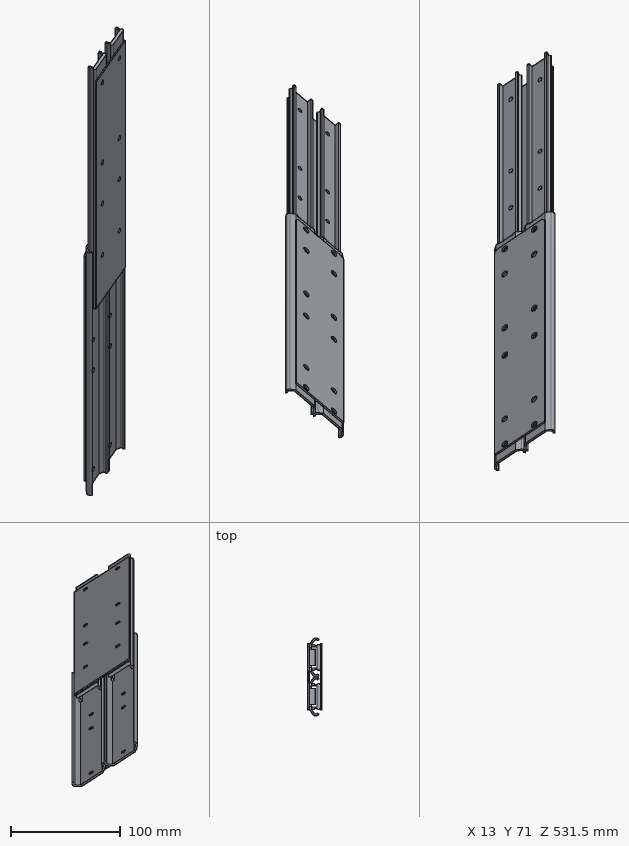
import cadquery as cq
import math


total_length = 531.5
total_depth = 13.0
total_width = 71.0
outer_length = 305.0
inner_length = 301.5
back_plate_thickness = 1.5
front_plate_thickness = 1.35
plate_width = 60.5
plate_length = 285.0
front_plate_margin = 14.0
slide_width = total_width / 2
slide_centers = (-slide_width / 2, slide_width / 2)

web_flat_width = 24.0
curl_radius = 3.45
sheet_thickness = 1.85
curl_reach = 2.9
curl_center_x = 7.5
curl_center_y = slide_width / 2 - curl_radius
notch_depth = 1.0
notch_width = 18.0
notch_slope = 1.5
stop_tab_end_x = 7.0
stop_tab_thickness = 1.5

inner_front_x = 3.5
inner_back_x = total_depth - front_plate_thickness
inner_width = 24.0
inner_web = 3.0
inner_flange = 2.4
groove_width = 3.5
groove_depth = 1.0
groove_center_x = curl_center_x
inner_bottom = total_length - inner_length
inner_corner_radius = 1.5

back_plate_bottom = 10.5
front_plate_bottom = total_length - front_plate_margin - plate_length
plate_chamfer = 2.5

access_hole_diameter = 6.65
screw_hole_diameter = 4.5
end_hole_margin = 16.0
blind_hole_margin = 51.0
middle_hole_heights = (140.5, 178.5)
top_hole_height = outer_length - end_hole_margin
outer_hole_heights = (end_hole_margin, *middle_hole_heights, top_hole_height)
access_hole_heights = (*outer_hole_heights, blind_hole_margin, outer_length - blind_hole_margin)
inner_hole_heights = (top_hole_height, 354.0, 405.5, 506.0)


def holes_along_x(diameter, y_positions, heights):
    """Round cutters that run along X through the full depth."""
    points = [(y, z) for y in y_positions for z in heights]
    return cq.Workplane("YZ").pushPoints(points).circle(diameter / 2).extrude(total_depth)


def tangent_angle(web_x, radius):
    """Direction, from the -X axis toward the lip, of the point where the sloped side meets the curl."""
    rise = curl_center_x - web_x
    run = curl_center_y - web_flat_width / 2
    return math.acos(radius / math.hypot(rise, run)) - math.atan2(run, rise)


def curl_point(radius, angle, side):
    """Point on a curl, with the angle counted from the web side round to the lip."""
    x = curl_center_x - radius * math.cos(angle)
    y = curl_center_y + radius * math.sin(angle)
    return (x, side * y)


def make_outer_rail(center_y):
    web_x = back_plate_thickness
    web_inside_x = web_x + sheet_thickness
    half_flat = web_flat_width / 2
    outer = curl_radius
    inner = curl_radius - sheet_thickness
    lip = math.pi / 2 + math.asin(curl_reach / curl_radius)
    outer_start = tangent_angle(web_x, outer)
    inner_start = tangent_angle(web_inside_x, inner)
    widest = math.pi / 2
    rail = (
        cq.Workplane("XY")
        .moveTo(web_x, -half_flat)
        .lineTo(web_x, half_flat)
        .lineTo(*curl_point(outer, outer_start, 1))
        .threePointArc(curl_point(outer, widest, 1), curl_point(outer, lip, 1))
        .lineTo(*curl_point(inner, lip, 1))
        .threePointArc(curl_point(inner, widest, 1), curl_point(inner, inner_start, 1))
        .lineTo(web_inside_x, half_flat)
        .lineTo(web_inside_x, -half_flat)
        .lineTo(*curl_point(inner, inner_start, -1))
        .threePointArc(curl_point(inner, widest, -1), curl_point(inner, lip, -1))
        .lineTo(*curl_point(outer, lip, -1))
        .threePointArc(curl_point(outer, widest, -1), curl_point(outer, outer_start, -1))
        .close()
        .extrude(outer_length)
    )
    half_top = notch_width / 2
    half_floor = half_top - notch_slope
    notch_floor = outer_length - notch_depth
    notch = (
        cq.Workplane("YZ")
        .polyline([
            (-half_top, outer_length),
            (-half_floor, notch_floor),
            (half_floor, notch_floor),
            (half_top, outer_length),
        ])
        .close()
        .extrude(web_inside_x)
    )
    stop_tab = (
        cq.Workplane("XY", origin=(0, 0, notch_floor - stop_tab_thickness))
        .box(stop_tab_end_x - web_x, 2 * half_floor, stop_tab_thickness, centered=(False, True, False))
        .translate((web_x, 0, 0))
    )
    rail = rail.cut(notch).union(stop_tab).translate((0, center_y, 0))
    return rail.cut(holes_along_x(screw_hole_diameter, [center_y], outer_hole_heights))


def make_inner_rail(center_y):
    side = inner_width / 2
    inside = side - inner_flange
    web_x = inner_back_x - inner_web
    groove_start = groove_center_x - groove_width / 2
    groove_end = groove_center_x + groove_width / 2
    groove_floor = side - groove_depth
    rail = (
        cq.Workplane("XY")
        .moveTo(inner_back_x, -side)
        .lineTo(inner_back_x, side)
        .lineTo(groove_end, side)
        .threePointArc((groove_center_x, groove_floor), (groove_start, side))
        .lineTo(inner_front_x, side)
        .lineTo(inner_front_x, inside)
        .lineTo(web_x, inside)
        .lineTo(web_x, -inside)
        .lineTo(inner_front_x, -inside)
        .lineTo(inner_front_x, -side)
        .lineTo(groove_start, -side)
        .threePointArc((groove_center_x, -groove_floor), (groove_end, -side))
        .close()
        .extrude(inner_length)
        .edges("|Z and >X").fillet(inner_corner_radius)
        .translate((0, center_y, inner_bottom))
    )
    return rail.cut(holes_along_x(screw_hole_diameter, [center_y], inner_hole_heights))


def make_plate(left_x, thickness, bottom):
    return cq.Workplane("XY").box(
        thickness, plate_width, plate_length, centered=(False, True, False)
    ).translate((left_x, 0, bottom))


back_plate = (
    make_plate(0, back_plate_thickness, back_plate_bottom)
    .edges("|X and >Z").chamfer(plate_chamfer)
    .cut(holes_along_x(access_hole_diameter, slide_centers, access_hole_heights))
)

front_plate = make_plate(inner_back_x, front_plate_thickness, front_plate_bottom).cut(
    holes_along_x(screw_hole_diameter, slide_centers, inner_hole_heights)
)

outer_rails = [make_outer_rail(center_y) for center_y in slide_centers]
inner_rails = [make_inner_rail(center_y) for center_y in slide_centers]

result = cq.Compound.makeCompound([
    back_plate.val(),
    front_plate.val(),
    *[rail.val() for rail in outer_rails],
    *[rail.val() for rail in inner_rails],
])